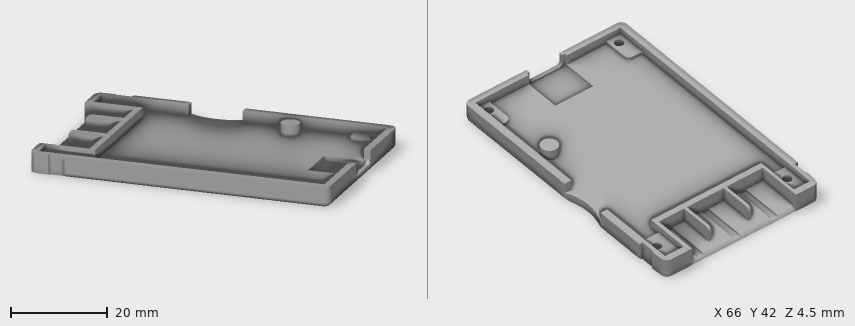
import cadquery as cq

LENGTH = 66.0
WIDTH = 42.0
HEIGHT = 4.5
CORNER_RADIUS = 1.5
BOTTOM_FILLET = 1.0
END_WALL = 1.6
SIDE_WALL = 1.8
FLOOR_Z = 2.0
LEFT = -LENGTH / 2
RIGHT = LENGTH / 2
BACK = WIDTH / 2
INNER_LEFT = LEFT + END_WALL
INNER_RIGHT = RIGHT - END_WALL
INNER_BACK = BACK - SIDE_WALL

NECK_END_X = -25.1
NECK_HALF_WIDTH = 20.1
NOSE_HALF_WIDTH = 20.25
RIDGE_X = -28.7
RIDGE_HALF_WIDTH = 20.45

PAD_Z = FLOOR_Z + 0.8
LEFT_PAD_END_X = -23.1
RIGHT_PAD_START_X = 24.2
RIGHT_PAD_INNER_Y = 15.45
PAD_CORNER_RADIUS = 1.25
PAD_FLARE_RADIUS = 0.6
HOLE_DIAMETER = 2.2
HOLE_XS = (-26.3, 29.4)
HOLE_Y = 17.2

BAY_BACK_X = -22.0
BAY_BACK_WALL = 1.4
BAY_TOP_Y = 13.3
BAY_BOTTOM_Y = -14.2
BAY_TOP_WALL = 0.9
BAY_BOTTOM_WALL = 0.7
BAY_FLOOR_Z = 1.0
BAY_LIP_RADIUS = 1.65
GROOVE_Z = 0.495
GROOVE_WIDTH = 1.8
GROOVE_YS = (10.7, 1.05, -8.85)
RIB_THICKNESS = 0.7
RIB_YS = (6.3, -4.2)
RIB_START_X = -30.1
RIB_FILLET = 1.1

PIN_DIAMETER = 4.0
PIN_X = 11.35
PIN_Y = 15.65

NOTCH_X = -6.35
NOTCH_WALL_GAP = 11.9
NOTCH_BOTTOM_Y = 19.5
NOTCH_RADIUS = 13.2

POCKET_START_X = 22.65
POCKET_END_X = 32.1
POCKET_WIDTH = 10.0
POCKET_Z = FLOOR_Z - 1.0
POCKET_FILLET = 0.6
OPENING_WIDTH = 8.7
OPENING_Z = 1.5
OPENING_FILLET = 1.05


def block(x_range, y_range, z_range):
    """Box spanning the given coordinate ranges."""
    (x0, x1), (y0, y1), (z0, z1) = x_range, y_range, z_range
    return cq.Workplane("XY").box(x1 - x0, y1 - y0, z1 - z0, centered=False).translate((x0, y0, z0))


def mirrored_in_y(solid):
    """The solid together with its mirror image across Y = 0."""
    return solid.union(solid.mirror("XZ"))


def outer_body():
    main = block((NECK_END_X, RIGHT), (-BACK, BACK), (0, HEIGHT))
    main = main.edges("|Z and >X").fillet(CORNER_RADIUS)
    main = main.faces("<Z").edges("not <X").fillet(BOTTOM_FILLET)
    half_outline = [
        (LEFT, NOSE_HALF_WIDTH),
        (RIDGE_X, RIDGE_HALF_WIDTH),
        (RIDGE_X, NECK_HALF_WIDTH),
        (NECK_END_X, NECK_HALF_WIDTH),
    ]
    other_half = [(x, -y) for x, y in reversed(half_outline)]
    neck = cq.Workplane("XY").polyline(half_outline + other_half).close().extrude(HEIGHT)
    neck = neck.edges("|Z and <X").fillet(CORNER_RADIUS)
    return main.union(neck)


def cavity():
    return block((INNER_LEFT, INNER_RIGHT), (-INNER_BACK, INNER_BACK), (FLOOR_Z, HEIGHT))


def corner_pads():
    left_pad = block((INNER_LEFT, LEFT_PAD_END_X), (BAY_TOP_Y, INNER_BACK), (FLOOR_Z, PAD_Z))
    right_pad = (
        cq.Workplane("XY", origin=(0, 0, FLOOR_Z))
        .moveTo(INNER_RIGHT, INNER_BACK)
        .lineTo(INNER_RIGHT, RIGHT_PAD_INNER_Y)
        .lineTo(RIGHT_PAD_START_X + PAD_CORNER_RADIUS, RIGHT_PAD_INNER_Y)
        .radiusArc((RIGHT_PAD_START_X, RIGHT_PAD_INNER_Y + PAD_CORNER_RADIUS), PAD_CORNER_RADIUS)
        .lineTo(RIGHT_PAD_START_X, INNER_BACK - PAD_FLARE_RADIUS)
        .radiusArc((RIGHT_PAD_START_X - PAD_FLARE_RADIUS, INNER_BACK), -PAD_FLARE_RADIUS)
        .close()
        .extrude(PAD_Z - FLOOR_Z)
    )
    return mirrored_in_y(left_pad.union(right_pad))


def screw_holes():
    centres = [(x, side * HOLE_Y) for x in HOLE_XS for side in (-1, 1)]
    return cq.Workplane("XY").pushPoints(centres).circle(HOLE_DIAMETER / 2).extrude(HEIGHT)


def bay_walls():
    return block(
        (INNER_LEFT, BAY_BACK_X + BAY_BACK_WALL),
        (BAY_BOTTOM_Y - BAY_BOTTOM_WALL, BAY_TOP_Y + BAY_TOP_WALL),
        (FLOOR_Z, HEIGHT),
    )


def bay_space():
    """Bay volume, with a rounded drop at the open end of its floor, and the grooves below it."""
    bay_y = (BAY_BOTTOM_Y, BAY_TOP_Y)
    space = block((LEFT, BAY_BACK_X), bay_y, (BAY_FLOOR_Z, HEIGHT))
    edge_strip = block((LEFT, INNER_LEFT), bay_y, (0, BAY_FLOOR_Z))
    edge_round = (
        cq.Workplane("XZ", origin=(INNER_LEFT, BAY_TOP_Y, BAY_FLOOR_Z - BAY_LIP_RADIUS))
        .circle(BAY_LIP_RADIUS)
        .extrude(BAY_TOP_Y - BAY_BOTTOM_Y)
    )
    space = space.union(edge_strip.cut(edge_round))
    for y in GROOVE_YS:
        groove_y = (y - GROOVE_WIDTH / 2, y + GROOVE_WIDTH / 2)
        space = space.union(block((LEFT, BAY_BACK_X), groove_y, (GROOVE_Z, HEIGHT)))
    return space


def bay_rib(y):
    y_range = (y - RIB_THICKNESS / 2, y + RIB_THICKNESS / 2)
    rib = block((RIB_START_X, BAY_BACK_X), y_range, (BAY_FLOOR_Z, HEIGHT))
    return rib.edges("<X and >Z").fillet(RIB_FILLET)


def pin():
    return (
        cq.Workplane("XY", origin=(PIN_X, PIN_Y, FLOOR_Z))
        .circle(PIN_DIAMETER / 2)
        .extrude(HEIGHT - FLOOR_Z)
    )


def finger_notch():
    half_gap = NOTCH_WALL_GAP / 2
    wall_gap = block((NOTCH_X - half_gap, NOTCH_X + half_gap), (INNER_BACK, BACK), (FLOOR_Z, HEIGHT))
    scoop = (
        cq.Workplane("XY")
        .center(NOTCH_X, NOTCH_BOTTOM_Y + NOTCH_RADIUS)
        .circle(NOTCH_RADIUS)
        .extrude(HEIGHT)
    )
    return wall_gap.union(scoop)


def socket_pocket():
    half_pocket = POCKET_WIDTH / 2
    half_opening = OPENING_WIDTH / 2
    pocket = block((POCKET_START_X, POCKET_END_X), (-half_pocket, half_pocket), (POCKET_Z, HEIGHT))
    pocket = pocket.faces("<Z").edges("not >X").fillet(POCKET_FILLET)
    opening = block((POCKET_END_X, RIGHT), (-half_opening, half_opening), (OPENING_Z, HEIGHT))
    opening = opening.edges("|X and <Z").fillet(OPENING_FILLET)
    return pocket.union(opening)


result = outer_body().cut(cavity()).union(corner_pads()).union(bay_walls()).cut(bay_space())
for rib_y in RIB_YS:
    result = result.union(bay_rib(rib_y))
result = result.union(pin()).cut(screw_holes()).cut(finger_notch()).cut(socket_pocket())